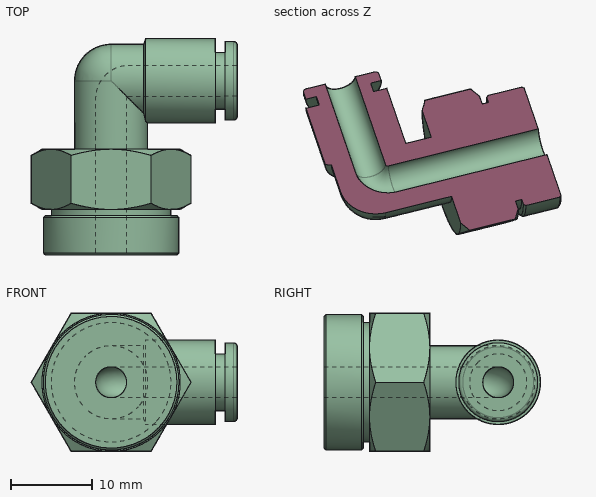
import cadquery as cq
import math


thread_diameter = 16.662
thread_length = 4.85
thread_chamfer = 0.25
undercut_diameter = 14.7
undercut_length = 0.75

hex_sides = 6
across_flats = 17.0
hex_length = 7.4
hex_chamfer_angle = 30.0
envelope_margin = 1.0

elbow_diameter = 9.0
elbow_axis_y = 21.4
bore_diameter = 3.8
bore_bend_radius = 2.2

sleeve_diameter = 10.4
sleeve_start_x = 4.0
sleeve_end_x = 12.8
sleeve_chamfer_length = 0.25
neck_diameter = 7.0
collar_diameter = 9.7
collar_start_x = 14.0
outlet_end_x = 15.5
collar_fillet = 0.5

undercut_end_y = thread_length + undercut_length
hex_end_y = undercut_end_y + hex_length
across_corners = across_flats / math.cos(math.pi / hex_sides)


def y_cylinder(diameter, start, end):
    """Cylinder on the thread axis between two Y positions."""
    plane = cq.Plane(origin=(0, start, 0), xDir=(1, 0, 0), normal=(0, 1, 0))
    return cq.Workplane(plane).circle(diameter / 2).extrude(end - start)


def x_cylinder(diameter, start, end):
    """Cylinder on the outlet axis between two X positions."""
    plane = cq.Plane(origin=(start, elbow_axis_y, 0), xDir=(0, 1, 0), normal=(1, 0, 0))
    return cq.Workplane(plane).circle(diameter / 2).extrude(end - start)


def elbow():
    """Right-angle round body with a spherical outer corner."""
    corner = cq.Workplane("XY").sphere(elbow_diameter / 2).translate((0, elbow_axis_y, 0))
    inlet = y_cylinder(elbow_diameter, undercut_end_y, elbow_axis_y)
    outlet = x_cylinder(elbow_diameter, 0, sleeve_end_x)
    return inlet.union(outlet).union(corner)


def bore():
    """Through passage along both axes, joined by a swept quarter bend."""
    bend_start_y = elbow_axis_y - bore_bend_radius
    inlet = y_cylinder(bore_diameter, 0, bend_start_y)
    outlet = x_cylinder(bore_diameter, bore_bend_radius, outlet_end_x)
    bend = (
        cq.Workplane("XZ", origin=(0, bend_start_y, 0))
        .circle(bore_diameter / 2)
        .revolve(90, (bore_bend_radius, 0, 0), (bore_bend_radius, -1, 0))
    )
    return inlet.union(outlet).union(bend)


def thread_end():
    """Plain thread body chamfered at both ends, with the undercut behind it."""
    thread = y_cylinder(thread_diameter, 0, thread_length).edges("%CIRCLE").chamfer(thread_chamfer)
    return thread.union(y_cylinder(undercut_diameter, 0, undercut_end_y))


def hexagon():
    """Hexagon with corners on X, turned down conically at both ends."""
    plane = cq.Plane(origin=(0, undercut_end_y, 0), xDir=(1, 0, 0), normal=(0, 1, 0))
    prism = cq.Workplane(plane).polygon(hex_sides, across_corners).extrude(hex_length)
    face_radius = across_flats / 2
    envelope_radius = across_corners / 2 + envelope_margin
    cone_length = (envelope_radius - face_radius) * math.tan(math.radians(hex_chamfer_angle))
    envelope = (
        cq.Workplane("XY")
        .moveTo(0, undercut_end_y)
        .lineTo(face_radius, undercut_end_y)
        .lineTo(envelope_radius, undercut_end_y + cone_length)
        .lineTo(envelope_radius, hex_end_y - cone_length)
        .lineTo(face_radius, hex_end_y)
        .lineTo(0, hex_end_y)
        .close()
        .revolve(360, (0, 0, 0), (0, 1, 0))
    )
    return prism.intersect(envelope)


def tube_outlet():
    """Sleeve with a chamfered inner end, neck and rounded release collar."""
    sleeve = x_cylinder(sleeve_diameter, sleeve_start_x + sleeve_chamfer_length, sleeve_end_x)
    sleeve_plane = cq.Plane(origin=(sleeve_start_x, elbow_axis_y, 0), xDir=(0, 1, 0), normal=(1, 0, 0))
    sleeve_cone = (
        cq.Workplane(sleeve_plane)
        .circle(elbow_diameter / 2)
        .workplane(offset=sleeve_chamfer_length)
        .circle(sleeve_diameter / 2)
        .loft()
    )
    neck = x_cylinder(neck_diameter, sleeve_start_x, outlet_end_x)
    collar = x_cylinder(collar_diameter, collar_start_x, outlet_end_x)
    collar = collar.faces(">X").edges().fillet(collar_fillet)
    return sleeve.union(sleeve_cone).union(neck).union(collar)


body = thread_end().union(hexagon())
body = body.union(elbow())
body = body.union(tube_outlet())
result = body.cut(bore())